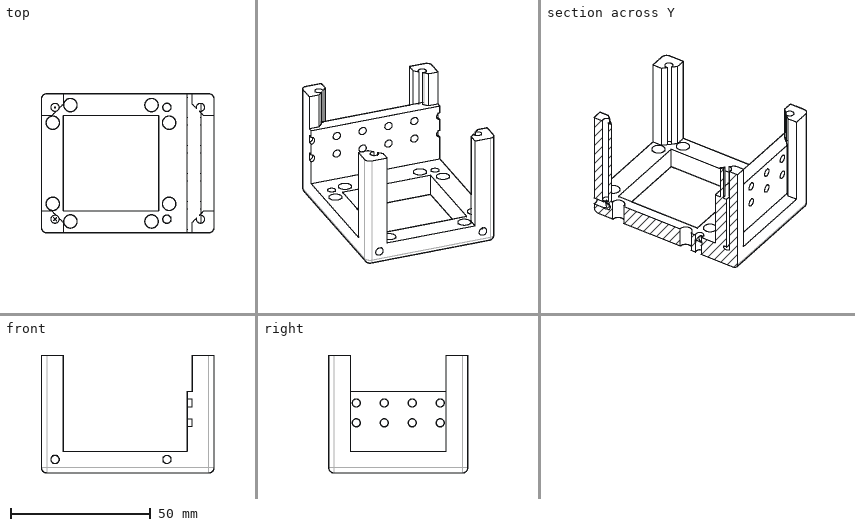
import cadquery as cq
import math

deck_side = 49.8
wall_extension = 12.0
total_height = 42.1
plate_thickness = 7.8
edge_radius = 2.0
post_side = 7.9
post_chamfer = 4.2

window_side = deck_side - 2 * post_side
total_length = deck_side + wall_extension
mid_x = deck_side / 2
mid_y = deck_side / 2

screw_inset = 4.9
screw_diameter = 2.9
screw_tip_angle = 118.0
post_hole_depth = 35.0
side_hole_depth = 6.5
screw_x_far = deck_side - screw_inset
screw_y_rows = (screw_inset, deck_side - screw_inset)

mount_diameter = 4.7
mount_near = 14.5
mount_far = 20.8

wall_thickness = 4.9
wall_setback = 4.75
wall_top = 29.2
wall_hole_diameter = 2.8
wall_hole_pitch = 10.0
wall_hole_columns = 6
wall_hole_heights = (18.0, 25.1)
wall_x = total_length - wall_setback - wall_thickness


def drill(origin, direction, depth):
    """Blind screw hole: a cylinder with a conical drill tip."""
    radius = screw_diameter / 2
    tip = radius / math.tan(math.radians(screw_tip_angle / 2))
    start = cq.Vector(*origin)
    axis = cq.Vector(*direction)
    bore = cq.Solid.makeCylinder(radius, depth, start, axis)
    cone = cq.Solid.makeCone(radius, 0, tip, start + axis * depth, axis)
    return cq.Workplane(obj=bore.fuse(cone))


def make_envelope():
    """Full-height block with all the outside rounding."""
    block = cq.Workplane().box(total_length, deck_side, total_height, centered=False)
    return block.edges("|Z").fillet(edge_radius).faces("<Z").edges().fillet(edge_radius)


def make_posts():
    """Square posts with a chamfered inward corner, at the four corners."""
    short = post_side - post_chamfer
    corner = [(0, 0), (post_side, 0), (post_side, short), (short, post_side), (0, post_side)]
    post = cq.Workplane().polyline(corner).close().extrude(total_height)
    front = post.union(post.mirror("YZ").translate((total_length, 0, 0)))
    return front.union(front.mirror("XZ").translate((0, deck_side, 0)))


def make_frame():
    """Base plate and corner posts, with the window and every screw and mounting hole."""
    plate = cq.Workplane().box(total_length, deck_side, plate_thickness, centered=False)
    frame = make_envelope().intersect(plate.union(make_posts()))

    window = cq.Workplane().center(mid_x, mid_y).rect(window_side, window_side)
    frame = frame.cut(window.extrude(plate_thickness))

    mount_points = []
    for sx in (-1, 1):
        for sy in (-1, 1):
            mount_points.append((mid_x + sx * mount_near, mid_y + sy * mount_far))
            mount_points.append((mid_x + sx * mount_far, mid_y + sy * mount_near))
    mounts = cq.Workplane().pushPoints(mount_points).circle(mount_diameter / 2)
    frame = frame.cut(mounts.extrude(plate_thickness))

    through_points = [(screw_x_far, y) for y in screw_y_rows]
    throughs = cq.Workplane().pushPoints(through_points).circle(screw_diameter / 2)
    frame = frame.cut(throughs.extrude(plate_thickness))

    for x in (screw_inset, total_length - screw_inset):
        for y in screw_y_rows:
            frame = frame.cut(drill((x, y, total_height), (0, 0, -1), post_hole_depth))
    for x in (screw_inset, screw_x_far):
        frame = frame.cut(drill((x, 0, screw_inset), (0, 1, 0), side_hole_depth))
    for y in screw_y_rows:
        frame = frame.cut(drill((0, y, screw_inset), (1, 0, 0), side_hole_depth))
    return frame


def make_wall():
    """Upright wall across the plate, perforated by two rows of holes."""
    height = wall_top - plate_thickness
    wall = cq.Workplane().box(wall_thickness, deck_side, height, centered=False)
    wall = wall.translate((wall_x, 0, plate_thickness))
    first_offset = -wall_hole_pitch * (wall_hole_columns - 1) / 2
    points = []
    for column in range(wall_hole_columns):
        for z in wall_hole_heights:
            points.append((mid_y + first_offset + column * wall_hole_pitch, z))
    holes = cq.Workplane("YZ", origin=(wall_x, 0, 0)).pushPoints(points)
    return wall.cut(holes.circle(wall_hole_diameter / 2).extrude(wall_thickness))


result = make_frame().union(make_wall())